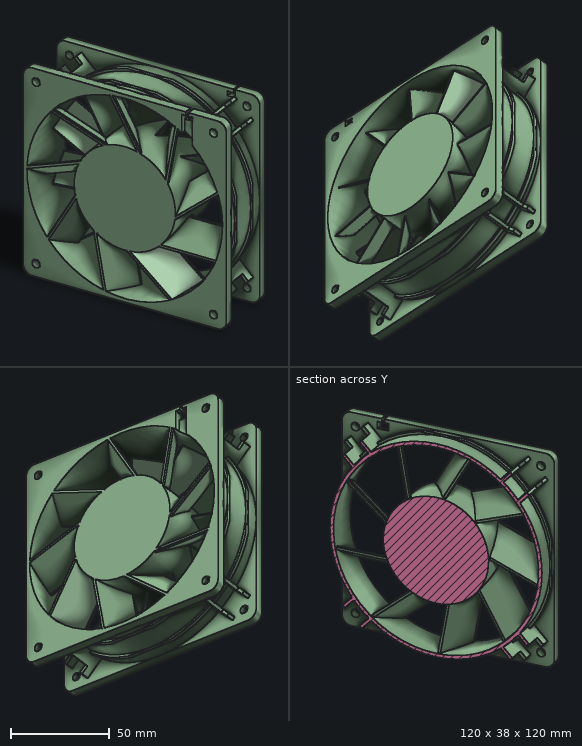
import cadquery as cq
side = 120.0
depth = 38.0
half_side = side / 2
half_depth = depth / 2
corner_radius = 5.3
flange_thickness = 5.0
flange_gap = depth - 2 * flange_thickness
bore_radius = 57.7
shroud_radius = 60.0

hole_spacing = 104.8
hole_diameter = 4.5

rib_radius = 61.5
rib_width = 2.0
rib_centers = (-9.8, 6.0)

gusset_inner_offset = 5.8
gusset_thickness = 2.0
gusset_root = 48.0
gusset_reach = 71.8
gusset_notch_reach = 67.0
gusset_notch_width = 18.0

window_top = 57.8
intake_window_x = 36.8
intake_window_width = 6.4
intake_window_height = 4.0
intake_neck_width = 1.5
cable_groove_depth = 3.0
outlet_window_right = 45.4
outlet_window_width = 4.5
outlet_window_height = 2.5
outlet_neck_width = 0.8

hub_radius = 29.9
blade_root_radius = 18.0

vane_count = 9
vane_phase = 0.0
vane_depth = 18.0
vane_front_offset = -22.2
vane_rear_offset = -10.5
vane_edge_width = 1.5
vane_edge_depth = 1.5
vane_tip_radius = (bore_radius + shroud_radius) / 2

rotor_count = 11
rotor_phase = -12.4
rotor_front = 0.7
rotor_depth = 15.0
rotor_front_offset = 11.8
rotor_rear_offset = 0.0
rotor_edge_width = 0.7
rotor_tip_radius = 56.6


def cylinder(radius, start, length):
    """Solid cylinder on the fan axis running from Y = start towards +Y."""
    return cq.Workplane("XZ", origin=(0, start, 0)).circle(radius).extrude(-length)


def block(x_range, y_range, z_range):
    """Box spanning the given (low, high) ranges."""
    sizes = [high - low for low, high in (x_range, y_range, z_range)]
    corner = (x_range[0], y_range[0], z_range[0])
    return cq.Workplane("XY").box(*sizes, centered=False).translate(corner)


def around(width, center=0.0):
    """Range of the given width about a centre."""
    return (center - width / 2, center + width / 2)


def turn(body, angle):
    """Turn a body about the fan axis, counterclockwise as seen from the intake."""
    return body.rotate((0, 0, 0), (0, 1, 0), -angle)


def flange(y_range):
    """Square plate with rounded corners."""
    return block(around(side), y_range, around(side)).edges("|Y").fillet(corner_radius)


def gusset(offset_sign):
    """Radial plate along +X, beside the XY plane, with a notch in its outer end."""
    offset_range = around(gusset_thickness, offset_sign * (gusset_inner_offset + gusset_thickness / 2))
    plate = block((gusset_root, gusset_reach), around(flange_gap), offset_range)
    notch = block((gusset_notch_reach, gusset_reach), around(gusset_notch_width), offset_range)
    return plate.cut(notch)


def cable_opening(y_range, window_x_range, window_height, neck_x_range):
    """Window through a flange with a narrow neck up to the top edge."""
    window = block(window_x_range, y_range, (window_top - window_height, window_top))
    neck = block(neck_x_range, y_range, (window_top, half_side))
    return window.union(neck)


def blade_ring(profile, count, phase, tip_radius):
    """Evenly spaced straight blades, each a (Y, offset) profile drawn out to the tip radius."""
    blade = cq.Workplane("YZ", origin=(blade_root_radius, 0, 0)).polyline(profile).close().extrude(half_side)
    blade = blade.intersect(cylinder(tip_radius, -half_depth, depth))
    ring = turn(blade, phase)
    for i in range(1, count):
        ring = ring.union(turn(blade, phase + i * 360 / count))
    return ring


intake_flange_range = (-half_depth, -flange_gap / 2)
outlet_flange_range = (flange_gap / 2, half_depth)
housing = flange(intake_flange_range).union(flange(outlet_flange_range))
housing = housing.union(cylinder(shroud_radius, -half_depth, depth))

outline = block(around(side), around(depth), around(side))
for center in rib_centers:
    rib = cylinder(rib_radius, center - rib_width / 2, rib_width)
    housing = housing.union(rib.intersect(outline))

for corner in range(4):
    for offset_sign in (-1, 1):
        housing = housing.union(turn(gusset(offset_sign), 45 + 90 * corner))

housing = housing.cut(cylinder(bore_radius, -half_depth, depth))
mounting_holes = (
    cq.Workplane("XZ", origin=(0, -half_depth, 0))
    .rect(hole_spacing, hole_spacing, forConstruction=True)
    .vertices()
    .circle(hole_diameter / 2)
    .extrude(-depth)
)
housing = housing.cut(mounting_holes)

intake_window_range = around(intake_window_width, intake_window_x)
intake_neck_range = around(intake_neck_width, intake_window_x)
housing = housing.cut(
    cable_opening(intake_flange_range, intake_window_range, intake_window_height, intake_neck_range)
)
cable_groove = block(intake_window_range, (-half_depth, -half_depth + cable_groove_depth), (0, window_top))
housing = housing.cut(cable_groove)

outlet_window_range = (outlet_window_right - outlet_window_width, outlet_window_right)
outlet_neck_range = (outlet_window_right - outlet_neck_width, outlet_window_right)
housing = housing.cut(
    cable_opening(outlet_flange_range, outlet_window_range, outlet_window_height, outlet_neck_range)
)

vane_front = -half_depth
vane_rear = vane_front + vane_depth
vane_profile = [
    (vane_front, vane_front_offset),
    (vane_front, vane_front_offset + vane_edge_width),
    (vane_rear - vane_edge_depth, vane_rear_offset),
    (vane_rear, vane_rear_offset),
    (vane_rear, vane_rear_offset - vane_edge_width),
    (vane_front + vane_edge_depth, vane_front_offset),
]
vanes = blade_ring(vane_profile, vane_count, vane_phase, vane_tip_radius)

rotor_rear = rotor_front + rotor_depth
rotor_profile = [
    (rotor_front, rotor_front_offset),
    (rotor_front, rotor_front_offset + rotor_edge_width),
    (rotor_rear, rotor_rear_offset + rotor_edge_width),
    (rotor_rear, rotor_rear_offset),
]
rotor = blade_ring(rotor_profile, rotor_count, rotor_phase, rotor_tip_radius)

hub = cylinder(hub_radius, -half_depth, depth)
result = housing.union(hub).union(vanes).union(rotor)